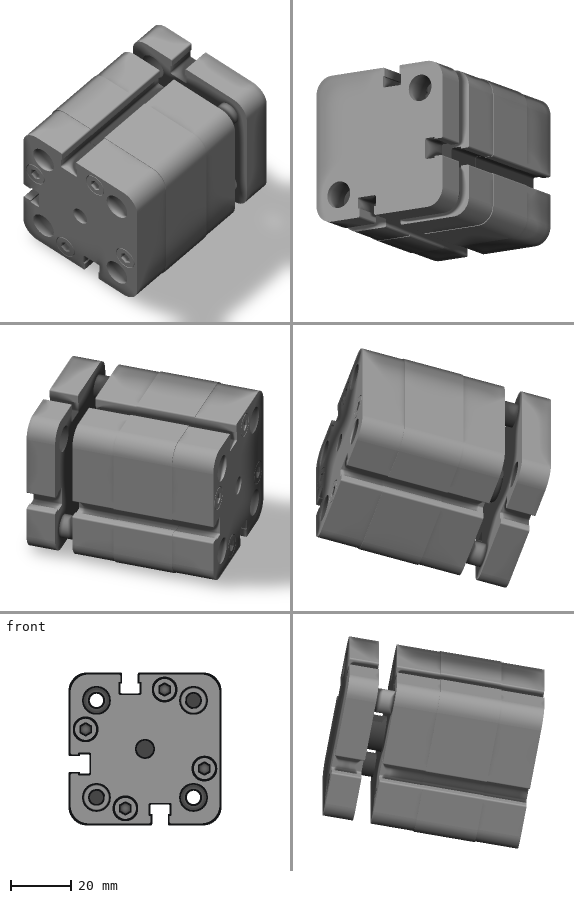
import cadquery as cq

CAP_LENGTH = 14.5
BARREL_LENGTH = 20.5
GAP = 6.0
PLATE_THICKNESS = 10.0
BARREL_START = CAP_LENGTH
REAR_CAP_START = BARREL_START + BARREL_LENGTH
BODY_LENGTH = REAR_CAP_START + CAP_LENGTH
PLATE_START = BODY_LENGTH + GAP

BARREL_SIZE = 50.1
CAP_SIZE = 49.7
CORNER_RADIUS = 6.0

SLOT_OFFSET = 5.0
CAP_SLOT_FLOOR = 18.1
BARREL_SLOT_FLOOR = 18.15
SLOT_LIP = 21.8
CAP_SLOT_MOUTH = 5.8
CAP_SLOT_CAVITY = 7.1
BARREL_SLOT_NARROWING = 0.2
SLOT_ROUNDING = 0.5
SLOT_ANGLES = (0, 90, 180)

MOUNT_OFFSET = 16.05
MOUNT_DIAMETER = 5.0
COUNTERBORE_DIAMETER = 9.0
COUNTERBORE_DEPTH = 5.5

GUIDE_OFFSET = 17.1
GUIDE_DIAMETER = 8.0

ROD_DIAMETER = 12.0
ROD_ROUNDING = 1.25
FLAT_WIDTH = 10.0
FLAT_LENGTH = 4.45
FLAT_DEPTH = (ROD_DIAMETER - FLAT_WIDTH) / 2

PORT_DIAMETER = 6.0
PORT_DEPTH = 10.0

SCREW_X = 6.5
SCREW_Z = 19.65
SCREW_POCKET_DIAMETER = 8.0
SCREW_HEAD_DIAMETER = 7.5
SCREW_HEAD_HEIGHT = 5.0
SOCKET_WIDTH = 3.6
SOCKET_DEPTH = 3.0


def cylinder(x, z, diameter, start, length):
    """Cylinder along +Y."""
    base = cq.Workplane("XZ", origin=(x, start, z))
    return base.circle(diameter / 2).extrude(-length)


def turned(shape, angle):
    """Copy of a shape turned about the part axis."""
    return shape.rotate((0, 0, 0), (0, -1, 0), angle)


def slot_cutter(size, start, length, floor, mouth, cavity):
    """Undercut channel for the top side, with rounded mouth edges and floor corners."""
    top = size / 2
    r = SLOT_ROUNDING
    half_mouth = mouth / 2
    half_cavity = cavity / 2
    sag = r * (1 - 0.5 ** 0.5)
    return (
        cq.Workplane("XZ", origin=(-SLOT_OFFSET, start, 0))
        .moveTo(-half_mouth - r, top)
        .threePointArc((-half_mouth - sag, top - sag), (-half_mouth, top - r))
        .lineTo(-half_mouth, SLOT_LIP)
        .lineTo(-half_cavity, SLOT_LIP)
        .lineTo(-half_cavity, floor + r)
        .threePointArc((-half_cavity + sag, floor + sag), (-half_cavity + r, floor))
        .lineTo(half_cavity - r, floor)
        .threePointArc((half_cavity - sag, floor + sag), (half_cavity, floor + r))
        .lineTo(half_cavity, SLOT_LIP)
        .lineTo(half_mouth, SLOT_LIP)
        .lineTo(half_mouth, top - r)
        .threePointArc((half_mouth + sag, top - sag), (half_mouth + r, top))
        .close()
        .extrude(-length)
    )


def slotted_block(size, start, length, floor, narrowing=0.0):
    """Rounded square block with the sensor slots; narrowing is taken off the slot widths."""
    block = (
        cq.Workplane("XZ", origin=(0, start, 0))
        .rect(size, size)
        .extrude(-length)
        .edges("|Y")
        .fillet(CORNER_RADIUS)
    )
    mouth = CAP_SLOT_MOUTH - narrowing
    cavity = CAP_SLOT_CAVITY - narrowing
    slot = slot_cutter(size, start, length, floor, mouth, cavity)
    for angle in SLOT_ANGLES:
        block = block.cut(turned(slot, angle))
    return block


def piston_rod():
    """Rod end, rounded at the plate, with wrench flats that run out at 45 degrees."""
    rod = cylinder(0, 0, ROD_DIAMETER, BODY_LENGTH, GAP)
    rod = rod.faces(">Y").edges().fillet(ROD_ROUNDING)
    radius = ROD_DIAMETER / 2
    flat_start = PLATE_START - FLAT_LENGTH
    flat = (
        cq.Workplane("XY")
        .moveTo(radius, PLATE_START)
        .lineTo(radius - FLAT_DEPTH, PLATE_START)
        .lineTo(radius - FLAT_DEPTH, flat_start)
        .lineTo(radius, flat_start - FLAT_DEPTH)
        .close()
        .extrude(radius, both=True)
    )
    return rod.cut(flat).cut(flat.mirror("YZ"))


def screw_groove(x, z):
    """Material to remove around one flush screw head and in its hex socket."""
    pocket = cylinder(x, z, SCREW_POCKET_DIAMETER, 0, SCREW_HEAD_HEIGHT)
    head = cylinder(x, z, SCREW_HEAD_DIAMETER, 0, SCREW_HEAD_HEIGHT)
    socket = (
        cq.Workplane("XZ", origin=(x, 0, z))
        .polygon(6, SOCKET_WIDTH, circumscribed=True)
        .extrude(-SOCKET_DEPTH)
    )
    return pocket.cut(head).union(socket)


front_cap = slotted_block(CAP_SIZE, 0, CAP_LENGTH, CAP_SLOT_FLOOR)
barrel = slotted_block(
    BARREL_SIZE, BARREL_START, BARREL_LENGTH, BARREL_SLOT_FLOOR, BARREL_SLOT_NARROWING
)
rear_cap = slotted_block(CAP_SIZE, REAR_CAP_START, CAP_LENGTH, CAP_SLOT_FLOOR)
plate = slotted_block(CAP_SIZE, PLATE_START, PLATE_THICKNESS, CAP_SLOT_FLOOR)
result = front_cap.union(barrel).union(rear_cap).union(plate)

for side_x in (-1, 1):
    for side_z in (-1, 1):
        x = side_x * MOUNT_OFFSET
        z = side_z * MOUNT_OFFSET
        result = result.cut(cylinder(x, z, MOUNT_DIAMETER, 0, BODY_LENGTH))
        result = result.cut(cylinder(x, z, COUNTERBORE_DIAMETER, 0, COUNTERBORE_DEPTH))
        if side_x != side_z:
            result = result.cut(cylinder(x, z, COUNTERBORE_DIAMETER, PLATE_START, PLATE_THICKNESS))

result = result.union(piston_rod())
for offset in (-GUIDE_OFFSET, GUIDE_OFFSET):
    result = result.union(cylinder(offset, offset, GUIDE_DIAMETER, BODY_LENGTH, GAP))

result = result.cut(cylinder(0, 0, PORT_DIAMETER, 0, PORT_DEPTH))
for x, z in (
    (SCREW_X, SCREW_Z),
    (-SCREW_Z, SCREW_X),
    (-SCREW_X, -SCREW_Z),
    (SCREW_Z, -SCREW_X),
):
    result = result.cut(screw_groove(x, z))